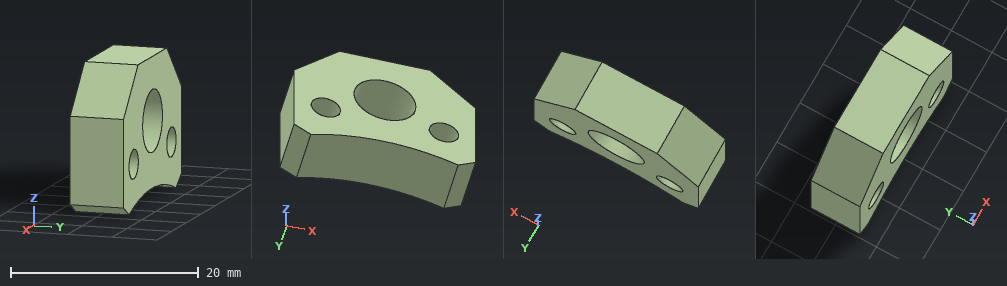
import cadquery as cq

width = 20.0
thickness = 6.0
height = 15.78
half_width = width / 2
top = height / 2
bottom = -height / 2

top_chamfer = 5.0
side_bottom = top - 14.6
left_foot_x = -half_width + 1.85
right_foot_x = half_width - 1.95
right_foot_z = bottom + 0.05
arch_crown = top - 14.3

main_diameter = 6.8
main_z = top - 7.0
small_diameter = 3.2
small_spacing = 13.0
small_z = top - 10.5


def make_body():
    """Plate with chamfered corners and an arched underside."""
    return (
        cq.Workplane("XZ", origin=(0, thickness / 2, 0))
        .moveTo(-half_width, side_bottom)
        .lineTo(-half_width, top - top_chamfer)
        .lineTo(-half_width + top_chamfer, top)
        .lineTo(half_width - top_chamfer, top)
        .lineTo(half_width, top - top_chamfer)
        .lineTo(half_width, side_bottom)
        .lineTo(right_foot_x, right_foot_z)
        .threePointArc((0, arch_crown), (left_foot_x, bottom))
        .close()
        .extrude(thickness)
    )


def hole_cutter(x, z, diameter):
    """Cylinder through the full thickness along Y."""
    return (
        cq.Workplane("XZ", origin=(x, thickness / 2, z))
        .circle(diameter / 2)
        .extrude(thickness)
    )


result = make_body().cut(hole_cutter(0, main_z, main_diameter))
for side in (-1, 1):
    result = result.cut(hole_cutter(side * small_spacing / 2, small_z, small_diameter))